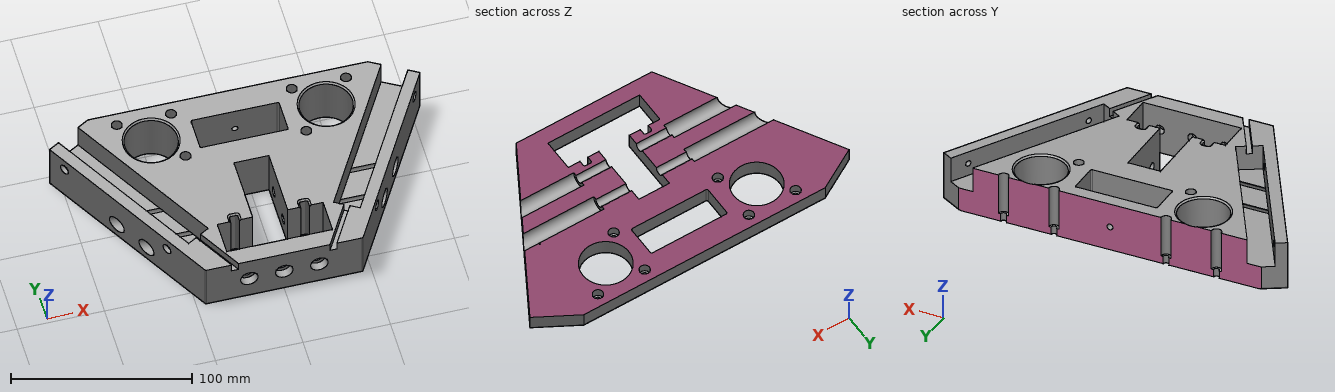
import cadquery as cq
import math

HEIGHT = 30.0
DEPTH = 120.45
WIDTH = 211.76
REAR_HALF_WIDTH = 80.0
SIDE_ANGLE = 60.0
SLOPE = math.radians(SIDE_ANGLE)
SHOULDER_HALF = WIDTH / 2
SHOULDER_Y = DEPTH - (SHOULDER_HALF - REAR_HALF_WIDTH) / math.tan(SLOPE)
FRONT_HALF_WIDTH = SHOULDER_HALF - SHOULDER_Y / math.tan(SLOPE)
SIDE_LENGTH = SHOULDER_Y / math.sin(SLOPE)
EDGE_FILLET = 1.0

MOTOR_X = 50.0
MOTOR_Y = 97.2
MOTOR_BORE = 30.0
MOTOR_BORE_CHAMFER = 1.0
MOTOR_SCREW_PITCH = 31.0
MOTOR_SCREW_OFFSET = MOTOR_SCREW_PITCH / 2
MOTOR_SCREW_SEAT = 5.0

SCREW_CLEARANCE = 3.4
SCREW_HEAD = 6.0

BOLT_CLEARANCE = 5.5
BOLT_HEAD = 10.0

WINDOW_LENGTH = 50.4
WINDOW_FRONT_Y = 85.2
WINDOW_REAR_Y = 105.2
WINDOW_FILLET = 1.0

STEM_WIDTH = 20.0
STEM_END_Y = 70.0
BAR_LENGTH = 60.5
BAR_FRONT_Y = 10.0
BAR_REAR_Y = 30.0

NOTCH_X = 20.0
NOTCH_WIDTH = 5.0
NOTCH_REACH = 4.25
NOTCH_FILLET = 1.0
NOTCH_CHAMFER = 1.0

POCKET_WALL = 7.0
POCKET_WIDTH = 15.2
POCKET_LENGTH = 101.6
POCKET_DEPTH = 15.2
GROOVE_WIDTH = 3.4
GROOVE_DEPTH = 5.0

SIDE_SCREW_Z = 22.5
SIDE_SCREW_FIRST = 30.2
SIDE_SCREW_PITCH = 80.0
SIDE_SCREW_COUNT = 2
SIDE_HEAD_DEPTH = 2.8

CROSS_BOLT_YS = (40.0, 60.0)
CROSS_BOLT_Z = 10.0
CROSS_HEAD_SEAT_X = 30.0

FRONT_BOLT_XS = (-20.0, 0.0, 20.0)
FRONT_BOLT_Z = HEIGHT / 2
FRONT_HEAD_DEPTH = 5.0

OVERCUT = 5.0


def block(x_range, y_range, z_range):
    """Axis-aligned block given by its (low, high) limits."""
    (x0, x1), (y0, y1), (z0, z1) = x_range, y_range, z_range
    return cq.Workplane("XY").box(x1 - x0, y1 - y0, z1 - z0, centered=False).translate((x0, y0, z0))


def rod(diameter, start, direction, length):
    """Cylinder that starts at a point and runs along a direction."""
    return cq.Workplane(cq.Solid.makeCylinder(diameter / 2, length, cq.Vector(*start), cq.Vector(*direction)))


def on_left_side(shape):
    """Move a shape drawn beside the X axis (X along the side, -Y inward) to the left side face."""
    turned = shape.rotate((0, 0, 0), (0, 0, 1), 180 - SIDE_ANGLE)
    return turned.translate((-FRONT_HALF_WIDTH, 0, 0))


def both_sides(cutter):
    """Left-hand cutter together with its mirror image on the right."""
    return cutter.union(cutter.mirror("YZ"))


def plate():
    """Six-sided plate with rounded front corners and a rounded lower edge."""
    right = [(FRONT_HALF_WIDTH, 0), (SHOULDER_HALF, SHOULDER_Y), (REAR_HALF_WIDTH, DEPTH)]
    left = [(-x, y) for x, y in reversed(right)]
    body = cq.Workplane("XY").polyline(right + left).close().extrude(HEIGHT)
    body = body.faces("<Y").edges("|Z").fillet(EDGE_FILLET)
    return body.faces("<Z").edges().fillet(EDGE_FILLET)


def motor_opening():
    """Left motor bore with a chamfered top rim and three counterbored screw holes."""
    up = (0, 0, 1)
    cutter = rod(MOTOR_BORE, (-MOTOR_X, MOTOR_Y, 0), up, HEIGHT)
    rim = cq.Solid.makeCone(
        MOTOR_BORE / 2,
        MOTOR_BORE / 2 + MOTOR_BORE_CHAMFER,
        MOTOR_BORE_CHAMFER,
        cq.Vector(-MOTOR_X, MOTOR_Y, HEIGHT - MOTOR_BORE_CHAMFER),
    )
    cutter = cutter.union(cq.Workplane(rim))
    for x_sign, y_sign in ((-1, 1), (1, 1), (1, -1)):
        x = -MOTOR_X + x_sign * MOTOR_SCREW_OFFSET
        y = MOTOR_Y + y_sign * MOTOR_SCREW_OFFSET
        cutter = cutter.union(rod(SCREW_CLEARANCE, (x, y, 0), up, HEIGHT))
        cutter = cutter.union(rod(SCREW_HEAD, (x, y, MOTOR_SCREW_SEAT), up, HEIGHT - MOTOR_SCREW_SEAT))
    return cutter


def window():
    half = WINDOW_LENGTH / 2
    opening = block((-half, half), (WINDOW_FRONT_Y, WINDOW_REAR_Y), (0, HEIGHT))
    return opening.edges("|Z").fillet(WINDOW_FILLET)


def t_opening():
    bar = block((-BAR_LENGTH / 2, BAR_LENGTH / 2), (BAR_FRONT_Y, BAR_REAR_Y), (0, HEIGHT))
    stem = block((-STEM_WIDTH / 2, STEM_WIDTH / 2), (BAR_FRONT_Y, STEM_END_Y), (0, HEIGHT))
    return bar.union(stem)


def notch():
    """Left notch: a round-cornered channel through the plate, flared at the top."""
    half = NOTCH_WIDTH / 2
    limits_x = (-NOTCH_X - half, -NOTCH_X + half)
    limits_y = ((BAR_FRONT_Y + BAR_REAR_Y) / 2, BAR_REAR_Y + NOTCH_REACH)
    channel = block(limits_x, limits_y, (0, HEIGHT - NOTCH_CHAMFER))
    channel = channel.edges("|Z and >Y").fillet(NOTCH_FILLET)
    flare = channel.faces(">Z").wires().toPending().extrude(NOTCH_CHAMFER, combine=False, taper=-45)
    return channel.union(flare)


def side_pocket():
    """Left pocket, open at the rear slanted face, with the groove from its end to the front face."""
    middle = POCKET_WALL + POCKET_WIDTH / 2
    pocket = block(
        (SIDE_LENGTH - POCKET_LENGTH, SIDE_LENGTH + OVERCUT),
        (-POCKET_WALL - POCKET_WIDTH, -POCKET_WALL),
        (HEIGHT - POCKET_DEPTH, HEIGHT),
    )
    groove = block(
        (-middle, SIDE_LENGTH - POCKET_LENGTH + OVERCUT),
        (-middle - GROOVE_WIDTH / 2, -middle + GROOVE_WIDTH / 2),
        (HEIGHT - GROOVE_DEPTH, HEIGHT),
    )
    return on_left_side(pocket.union(groove))


def side_screws():
    """Counterbored holes through the thin wall outside the left pocket."""
    inward = (0, -1, 0)
    cutter = cq.Workplane("XY")
    for index in range(SIDE_SCREW_COUNT):
        start = (SIDE_SCREW_FIRST + index * SIDE_SCREW_PITCH, 0, SIDE_SCREW_Z)
        cutter = cutter.union(rod(SCREW_CLEARANCE, start, inward, POCKET_WALL + POCKET_WIDTH / 2))
        cutter = cutter.union(rod(SCREW_HEAD, start, inward, SIDE_HEAD_DEPTH))
    return on_left_side(cutter)


def cross_bolts():
    """Left bolt holes, running outward from the T stem to the side face."""
    outward = (-1, 0, 0)
    head_length = SHOULDER_HALF - CROSS_HEAD_SEAT_X
    cutter = cq.Workplane("XY")
    for y in CROSS_BOLT_YS:
        cutter = cutter.union(rod(BOLT_CLEARANCE, (0, y, CROSS_BOLT_Z), outward, SHOULDER_HALF))
        head = rod(BOLT_HEAD, (-CROSS_HEAD_SEAT_X, y, CROSS_BOLT_Z), outward, head_length)
        cutter = cutter.union(head)
    return cutter


def front_bolts():
    """Counterbored bolt holes through the wall in front of the T bar."""
    backward = (0, 1, 0)
    cutter = cq.Workplane("XY")
    for x in FRONT_BOLT_XS:
        cutter = cutter.union(rod(BOLT_CLEARANCE, (x, 0, FRONT_BOLT_Z), backward, BAR_FRONT_Y + OVERCUT))
        cutter = cutter.union(rod(BOLT_HEAD, (x, 0, FRONT_BOLT_Z), backward, FRONT_HEAD_DEPTH))
    return cutter


def rear_screw():
    """Hole from the window through the rear wall."""
    start = (0, WINDOW_REAR_Y - OVERCUT, FRONT_BOLT_Z)
    return rod(SCREW_CLEARANCE, start, (0, 1, 0), DEPTH - WINDOW_REAR_Y + 2 * OVERCUT)


result = plate()
for left_cutter in (motor_opening(), notch(), side_pocket(), side_screws(), cross_bolts()):
    result = result.cut(both_sides(left_cutter))
for centre_cutter in (window(), t_opening(), front_bolts(), rear_screw()):
    result = result.cut(centre_cutter)